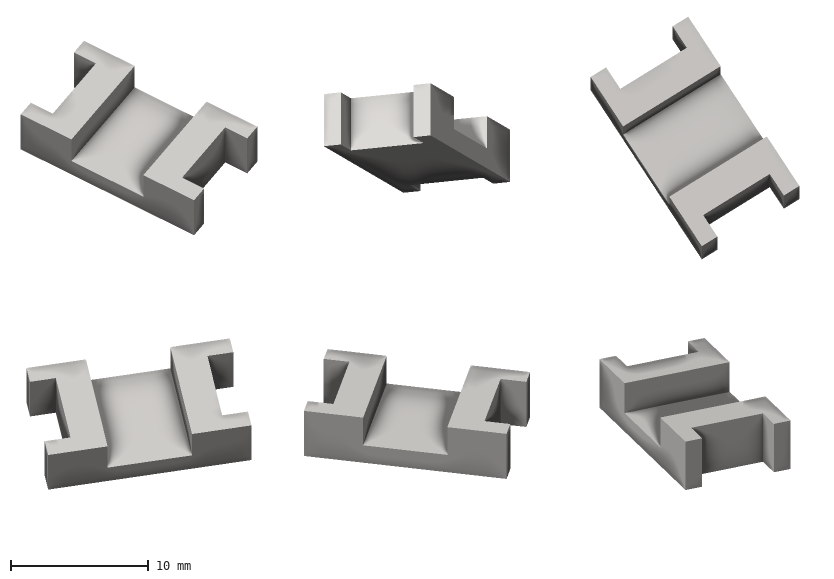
import cadquery as cq

length = 15.0
width = 8.38
height = 3.9

channel_width = 6.22
floor_thickness = 1.5

notch_depth = 1.9
prong_width = 1.34
notch_width = width - 2 * prong_width


def channel():
    """Material removed between the two raised ends."""
    return (
        cq.Workplane("XY")
        .workplane(offset=floor_thickness)
        .rect(channel_width, width)
        .extrude(height - floor_thickness)
    )


def end_notches():
    """Material removed from both ends; half of each cutter lies outside the block."""
    return (
        cq.Workplane("XY")
        .pushPoints([(-length / 2, 0), (length / 2, 0)])
        .rect(2 * notch_depth, notch_width)
        .extrude(height)
    )


block = cq.Workplane("XY").rect(length, width).extrude(height)
result = block.cut(channel()).cut(end_notches())